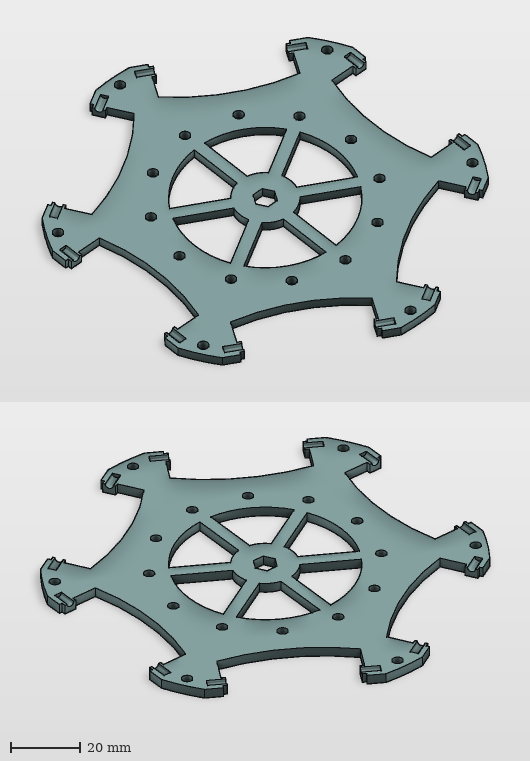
import cadquery as cq
import math

LENGTH = 130.0
FLAT_SPAN = 118.7
THICKNESS = 3.1
ARM_COUNT = 6
ARM_PITCH = 360 / ARM_COUNT

GAP_WIDTH = 42.0
GAP_FLOOR_MIDDLE = 42.9
GAP_FLOOR_CORNER = 46.0

TAB_RADIUS = 56.3
TAB_WIDTH = 4.0
TAB_HEIGHT = 1.3
GROOVE_DIAMETER = 2.5
GROOVE_LENGTH = 5.7

RIM_RADIUS = 28.0
HUB_RADIUS = 10.0
SPOKE_WIDTH = 4.0
HEX_ACROSS_FLATS = 6.4

HOLE_DIAMETER = 3.2
RIM_HOLE_COUNT = 12
RIM_HOLE_CIRCLE_RADIUS = 33.9
ARM_HOLE_CIRCLE_RADIUS = 61.5

CORNER_FACTOR = 1 / math.cos(math.pi / 6)


def around(shape):
    """Copies of a shape turned about Z, one for each arm."""
    copies = cq.Workplane("XY")
    for i in range(ARM_COUNT):
        copies = copies.add(shape.rotate((0, 0, 0), (0, 0, 1), i * ARM_PITCH))
    return copies.combine()


def hexagon(across_flats):
    """Hexagonal prism with two of its flats facing +Y and -Y."""
    return cq.Workplane("XY").polygon(6, across_flats * CORNER_FACTOR).extrude(THICKNESS)


def blank():
    """Hexagonal plate with flats facing the gaps and its corners rounded at the arm tips."""
    disc = cq.Workplane("XY").circle(LENGTH / 2).extrude(THICKNESS)
    return hexagon(FLAT_SPAN).intersect(disc)


def gap():
    """Gap facing +Y, with parallel walls and a floor that bows toward the centre."""
    half_width = GAP_WIDTH / 2
    return (
        cq.Workplane("XY")
        .moveTo(-half_width, FLAT_SPAN / 2)
        .lineTo(-half_width, GAP_FLOOR_CORNER)
        .threePointArc((0, GAP_FLOOR_MIDDLE), (half_width, GAP_FLOOR_CORNER))
        .lineTo(half_width, FLAT_SPAN / 2)
        .close()
        .extrude(THICKNESS)
    )


def tabs():
    """Low tabs standing on both walls of the +Y gap."""
    return (
        cq.Workplane("XY")
        .pushPoints([(side * (GAP_WIDTH - TAB_HEIGHT) / 2, TAB_RADIUS) for side in (-1, 1)])
        .rect(TAB_HEIGHT, TAB_WIDTH)
        .extrude(THICKNESS)
    )


def grooves():
    """Half-round grooves in the top face, running in from the tab tips of the +Y gap."""
    groove_start = GAP_WIDTH / 2 - TAB_HEIGHT
    bar = (
        cq.Workplane("YZ", origin=(groove_start, TAB_RADIUS, THICKNESS))
        .circle(GROOVE_DIAMETER / 2)
        .extrude(GROOVE_LENGTH)
    )
    return bar.union(bar.mirror("YZ"))


def wheel_windows():
    """Openings left between the rim, the hub and the spokes."""
    ring = cq.Workplane("XY").circle(RIM_RADIUS).circle(HUB_RADIUS).extrude(THICKNESS)
    spoke = cq.Workplane("XY").rect(2 * RIM_RADIUS + SPOKE_WIDTH, SPOKE_WIDTH).extrude(THICKNESS)
    return ring.cut(around(spoke))


def hex_bore():
    """Hexagonal bore through the hub, with two of its flats facing +X and -X."""
    return hexagon(HEX_ACROSS_FLATS).rotate((0, 0, 0), (0, 0, 1), ARM_PITCH / 2)


def hole_circle(radius, count):
    """Evenly spaced round holes on a circle, the first of them on +X."""
    return (
        cq.Workplane("XY")
        .polarArray(radius, 0, 360, count)
        .circle(HOLE_DIAMETER / 2)
        .extrude(THICKNESS)
    )


result = (
    blank()
    .cut(around(gap()))
    .union(around(tabs()))
    .cut(around(grooves()))
    .cut(wheel_windows())
    .cut(hex_bore())
    .cut(hole_circle(RIM_HOLE_CIRCLE_RADIUS, RIM_HOLE_COUNT))
    .cut(hole_circle(ARM_HOLE_CIRCLE_RADIUS, ARM_COUNT))
)